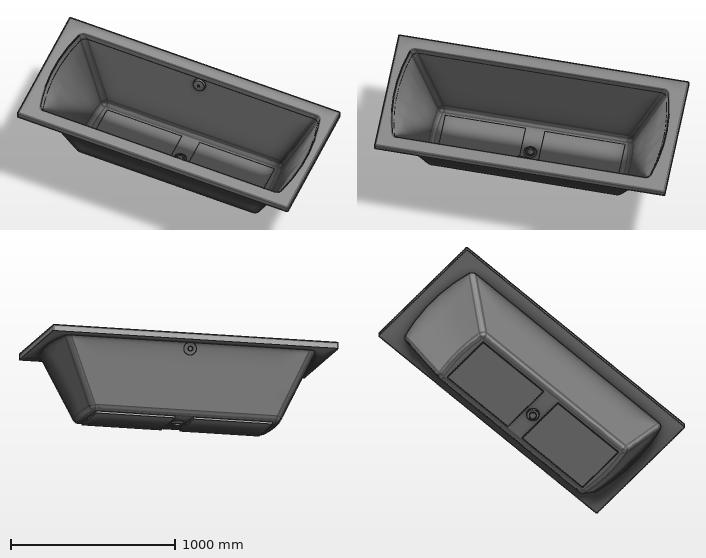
import cadquery as cq
import math

RIM_LENGTH = 1800.0
RIM_WIDTH = 800.0
RIM_HEIGHT = 40.0
RIM_EDGE_RADIUS = 7.0

BASIN_X = 9.0
OPENING_HALF_LENGTH = 840.0
OPENING_HALF_WIDTH = 317.0
END_BOW_RADIUS = 1098.0
END_SLOPE = 0.5
SIDE_SLOPE = 0.25
WALL = 6.3
TUB_DEPTH = 468.0
FLOOR_Z = WALL - TUB_DEPTH
INNER_RADIUS = 32.0
OUTER_RADIUS = INNER_RADIUS + WALL
LIP_RADIUS = 5.0

PAD_OUTER_X = 558.0
PAD_INNER_X = 60.0
PAD_HALF_WIDTH = 162.0
PAD_HEIGHT = 13.0

PLUG_DIAMETER = 60.0
PLUG_RIM_HEIGHT = 4.0
PLUG_DOME_HEIGHT = 5.0
DRAIN_HOLE_DIAMETER = 40.0

WASTE_TOP_DIAMETER = 80.0
WASTE_BOTTOM_DIAMETER = 74.0
TAIL_DIAMETER = 43.0
OVERALL_HEIGHT = 491.0

OVERFLOW_Z = -74.0
OVERFLOW_DIAMETER = 80.0
OVERFLOW_FACE_DIAMETER = 74.0
OVERFLOW_RIM_HEIGHT = 16.0
OVERFLOW_DOME_HEIGHT = 5.0
OVERFLOW_STEM_DIAMETER = 29.0
OVERFLOW_STEM_PROJECTION = 7.0
OVERFLOW_DIMPLE_DIAMETER = 15.0
OVERFLOW_DIMPLE_DEPTH = 2.0


def basin_outline(z, wall_offset):
    """Rectangle with bowed ends at height z, moved outward by wall_offset along each wall's normal."""
    crown = OPENING_HALF_LENGTH + END_SLOPE * z + wall_offset * math.hypot(1, END_SLOPE)
    half_width = OPENING_HALF_WIDTH + SIDE_SLOPE * z + wall_offset * math.hypot(1, SIDE_SLOPE)
    bow = END_BOW_RADIUS - math.sqrt(END_BOW_RADIUS**2 - half_width**2)
    corner = crown - bow
    outline = (
        cq.Workplane("XY", origin=(BASIN_X, 0, z))
        .moveTo(-corner, -half_width)
        .lineTo(corner, -half_width)
        .threePointArc((crown, 0), (corner, half_width))
        .lineTo(-corner, half_width)
        .threePointArc((-crown, 0), (-corner, -half_width))
        .close()
    )
    return outline.val()


def basin_block(bottom_z, wall_offset, radius):
    """Solid basin shape from z = 0 to bottom_z with rounded corners and bottom edge."""
    outlines = [basin_outline(bottom_z, wall_offset), basin_outline(0, wall_offset)]
    block = cq.Workplane(cq.Solid.makeLoft(outlines, True))
    block = block.edges("not(<Z or >Z)").fillet(radius)
    return block.faces("<Z").edges().fillet(radius)


def make_rim():
    rim = cq.Workplane("XY").box(RIM_LENGTH, RIM_WIDTH, RIM_HEIGHT, centered=(True, True, False))
    rim = rim.translate((0, 0, -RIM_HEIGHT))
    return rim.edges("|Z or >Z").fillet(RIM_EDGE_RADIUS)


def make_pads():
    pad_length = PAD_OUTER_X - PAD_INNER_X
    pad_middle = (PAD_OUTER_X + PAD_INNER_X) / 2
    return (
        cq.Workplane("XY", origin=(BASIN_X, 0, -TUB_DEPTH))
        .pushPoints([(-pad_middle, 0), (pad_middle, 0)])
        .rect(pad_length, 2 * PAD_HALF_WIDTH)
        .extrude(-PAD_HEIGHT)
    )


def overflow_plane():
    """Plane on the inside of the back wall; its normal points into the basin."""
    wall_y = OPENING_HALF_WIDTH + SIDE_SLOPE * OVERFLOW_Z
    return cq.Plane(origin=(BASIN_X, wall_y, OVERFLOW_Z), xDir=(1, 0, 0), normal=(0, -1, SIDE_SLOPE))


def overflow_stem():
    stem = cq.Workplane(overflow_plane()).circle(OVERFLOW_STEM_DIAMETER / 2)
    return stem.extrude(-WALL - OVERFLOW_STEM_PROJECTION)


def drain_stem():
    stem = cq.Workplane("XY", origin=(BASIN_X, 0, FLOOR_Z)).circle(DRAIN_HOLE_DIAMETER / 2)
    return stem.extrude(-WALL)


def make_tub():
    tub = make_rim().union(basin_block(-TUB_DEPTH, WALL, OUTER_RADIUS))
    tub = tub.cut(basin_block(FLOOR_Z, 0, INNER_RADIUS))
    opening = tub.faces(">Z").val().innerWires()[0]
    tub = tub.newObject(opening.Edges()).fillet(LIP_RADIUS)
    tub = tub.union(make_pads())
    return tub.cut(overflow_stem()).cut(drain_stem())


def domed_cap(base_diameter, face_diameter, rim_height, dome_height):
    """Cap standing on z = 0: a rim that tapers to the face diameter, then a shallow dome."""
    face_radius = face_diameter / 2
    dome_radius = (face_radius**2 + dome_height**2) / (2 * dome_height)
    return (
        cq.Workplane("XZ")
        .lineTo(base_diameter / 2, 0)
        .lineTo(face_radius, rim_height)
        .radiusArc((0, rim_height + dome_height), -dome_radius)
        .close()
        .revolve(360, (0, 0), (0, 1))
    )


def make_drain_plug():
    """Domed cap on the floor, with a stem that fills the drain hole."""
    cap = domed_cap(PLUG_DIAMETER, PLUG_DIAMETER, PLUG_RIM_HEIGHT, PLUG_DOME_HEIGHT)
    return cap.translate((BASIN_X, 0, FLOOR_Z)).union(drain_stem())


def make_waste():
    """Tapered collar under the floor with a short tail."""
    collar = (
        cq.Workplane("XY", origin=(BASIN_X, 0, -TUB_DEPTH))
        .circle(WASTE_TOP_DIAMETER / 2)
        .workplane(offset=-PAD_HEIGHT)
        .circle(WASTE_BOTTOM_DIAMETER / 2)
        .loft()
    )
    tail_length = OVERALL_HEIGHT - TUB_DEPTH - PAD_HEIGHT
    return collar.faces("<Z").workplane().circle(TAIL_DIAMETER / 2).extrude(tail_length)


def make_overflow():
    """Domed cap with a dimple at its crown and a stem that passes through the back wall."""
    cap = domed_cap(
        OVERFLOW_DIAMETER, OVERFLOW_FACE_DIAMETER, OVERFLOW_RIM_HEIGHT, OVERFLOW_DOME_HEIGHT
    )
    crown_z = OVERFLOW_RIM_HEIGHT + OVERFLOW_DOME_HEIGHT
    dimple = cq.Workplane("XY", origin=(0, 0, crown_z)).circle(OVERFLOW_DIMPLE_DIAMETER / 2)
    cap = cap.cut(dimple.extrude(-OVERFLOW_DIMPLE_DEPTH))
    mounted_cap = cq.Workplane(cap.val().moved(cq.Location(overflow_plane())))
    return mounted_cap.union(overflow_stem())


tub = make_tub()
drain_plug = make_drain_plug()
waste = make_waste()
overflow = make_overflow()

result = cq.Compound.makeCompound([tub.val(), drain_plug.val(), waste.val(), overflow.val()])